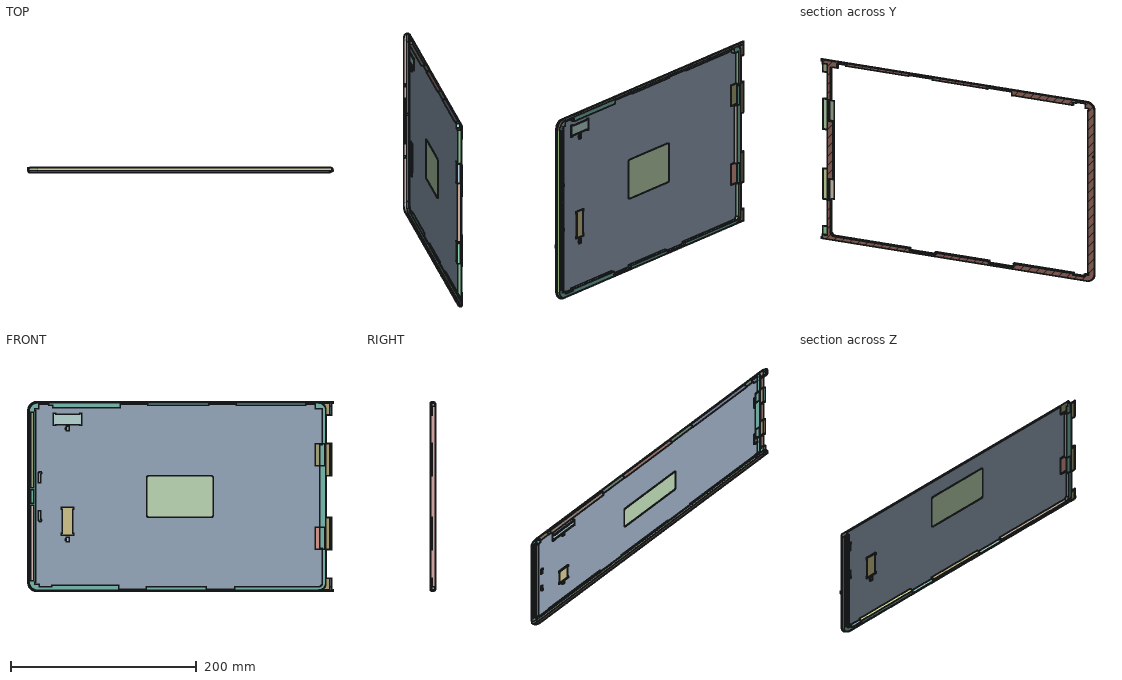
import cadquery as cq

LENGTH = 328.5
THICKNESS = 6.0
HEIGHT = 204.5

LEFT, RIGHT = -LENGTH / 2, LENGTH / 2
FRONT, BACK = -THICKNESS / 2, THICKNESS / 2
TOP = HEIGHT / 2

CORNER_RADIUS = 10.0
BACK_EDGE_RADIUS = 3.5
FRONT_BEVEL_WIDTH = 1.3
FRONT_BEVEL_DEPTH = 2.0

POCKET_DEPTH = 4.0
FLOOR_Y = FRONT + POCKET_DEPTH
POCKET_LEFT = -156.0
POCKET_RIGHT = 152.8
LEDGE_RIGHT = 150.0
LEDGE_HALF_HEIGHT = 56.0
SHALLOW_EDGE = 99.5

RIM_RIGHT = 156.5
RIM_CORNER_RADIUS = 7.0
SIDE_WALL = 1.5
BACK_WALL = 5.0
INNER_HALF_HEIGHT = TOP - SIDE_WALL
GAP_LEFT = 157.0
CORNER_LUG_END = 163.0
INNER_LUG_END = 162.7
LUG_FRONT, LUG_BACK = -2.5, -1.0
END_BEVEL_LENGTH, END_BEVEL_DEPTH = 4.3, 2.0
INNER_LUG = (22.5, 57.2)
CORNER_LUG_START = 87.7

CATCH_LEFT, CATCH_RIGHT = 145.0, 155.0
CATCH_RANGE = (33.2, 57.0)
CATCH_FRONT, CATCH_BACK = -2.3, 2.0

PANEL_LENGTH, PANEL_HEIGHT = 71.5, 44.7
PANEL_X = -0.5
PANEL_RADIUS = 2.3
PANEL_DEPTH = 0.3
WINDOW_LENGTH, WINDOW_WIDTH = 30.5, 11.2
WINDOW_DEPTH = 1.0
EAR_LENGTH, EAR_REACH = 2.3, 1.0
WINDOWS = [(-121.5, 83.0, 0), (-121.5, -26.5, 90)]
KEY_LENGTH, KEY_HEIGHT = 3.3, 5.0
KEY_PIN_DIAMETER = 1.7
KEY_GAP = 2.0
KEY_DEPTH = 0.5

HOOK_X, HOOK_WIDTH = -151.8, 2.3
HOOK_RANGE = (15.0, 27.0)
HOOK_HEAD_DIAMETER = 3.0
HOOK_HEAD_SHIFT = 0.5
HOOK_DEPTH = 0.3

GROOVE_LEFT, GROOVE_RIGHT = -161.0, -158.0
GROOVE_DEPTH = 1.3
GROOVE_RANGES = [(-90.7, -9.5), (-7.2, 7.2), (9.5, 90.7)]

END_SLOT_LENGTH, END_SLOT_WIDTH, END_SLOT_Y = 51.3, 1.3, 1.0
END_CUT_DEPTH = 1.5
END_DETAIL_Z = 40.8
END_HOLE_DIAMETER = 3.0
END_HOLE_Y = 1.3
STUD_WIDTH = 2.5
STUD_LENGTH = 4.0
STUD_BACK = 2.3


def block(x_range, y_range, z_range):
    """Axis-aligned block between the given limits."""
    (x0, x1), (y0, y1), (z0, z1) = x_range, y_range, z_range
    return cq.Workplane("XY").box(x1 - x0, y1 - y0, z1 - z0, centered=False).translate((x0, y0, z0))


def face_plane(y):
    """Sketch plane at depth y with X to the right and Z up; positive extrusion goes towards the front."""
    return cq.Workplane("XZ", origin=(0, y, 0))


def both_halves(z_range):
    """A z range and its mirror image below the centre line."""
    low, high = z_range
    return [(low, high), (-high, -low)]


def blank():
    """Slab with rounded left corners, bevelled front edges and rounded back edges."""
    slab = cq.Workplane("XY").box(LENGTH, THICKNESS, HEIGHT)
    slab = slab.edges("|Y and <X").fillet(CORNER_RADIUS)
    slab = slab.faces(">Y").edges().fillet(BACK_EDGE_RADIUS)
    front_edges = slab.faces("<Y").edges().vals()
    return cq.Workplane(slab.val().chamfer(FRONT_BEVEL_WIDTH, FRONT_BEVEL_DEPTH, front_edges))


def main_pocket():
    """Stepped pocket that leaves the rim around the floor."""
    outline = [
        (POCKET_LEFT, -92.5), (-157.0, -92.5), (-157.0, -94.5), (-152.0, -94.5), (-152.0, -97.3),
        (-138.7, -97.3), (-138.7, -95.5), (-66.7, -95.5), (-66.7, -SHALLOW_EDGE),
        (-37.0, -SHALLOW_EDGE), (-37.0, -97.3), (27.5, -97.3), (27.5, -SHALLOW_EDGE),
        (58.2, -SHALLOW_EDGE), (58.2, -97.3), (150.2, -97.3), (POCKET_RIGHT, -94.3),
        (POCKET_RIGHT, -LEDGE_HALF_HEIGHT), (LEDGE_RIGHT, -LEDGE_HALF_HEIGHT),
        (LEDGE_RIGHT, LEDGE_HALF_HEIGHT), (POCKET_RIGHT, LEDGE_HALF_HEIGHT),
        (POCKET_RIGHT, 94.5), (145.0, 94.5), (145.0, SHALLOW_EDGE), (134.7, SHALLOW_EDGE),
        (134.7, 98.5), (59.8, 98.5), (59.8, SHALLOW_EDGE), (30.5, SHALLOW_EDGE), (30.5, 98.5),
        (-35.5, 98.5), (-35.5, SHALLOW_EDGE), (-64.7, SHALLOW_EDGE), (-64.7, 95.5),
        (-137.7, 95.5), (-137.7, 98.5), (-141.5, 98.5), (-141.5, SHALLOW_EDGE),
        (-152.8, SHALLOW_EDGE), (-152.8, 94.5), (-157.0, 94.5), (-157.0, 92.5), (POCKET_LEFT, 92.5),
    ]
    return face_plane(FLOOR_Y).polyline(outline).close().extrude(POCKET_DEPTH)


def shape_right_end(body):
    """Step the lugs below the rim, thin them from behind and cut the gaps between them."""
    inner = (-INNER_HALF_HEIGHT, INNER_HALF_HEIGHT)
    step = block((RIM_RIGHT - RIM_CORNER_RADIUS, RIGHT), (FRONT, LUG_FRONT), inner)
    rim = block((0, RIM_RIGHT), (FRONT, BACK), inner).edges("|Y and >X").fillet(RIM_CORNER_RADIUS)
    body = body.cut(step.cut(rim))
    body = body.cut(block((CORNER_LUG_END, RIGHT), (FRONT, BACK), inner))
    between_corners = (-CORNER_LUG_START, CORNER_LUG_START)
    body = body.cut(block((INNER_LUG_END, RIGHT), (FRONT, BACK), between_corners))

    hollow_half = TOP - BACK_WALL
    body = body.cut(block((GAP_LEFT, RIGHT), (LUG_BACK, BACK), (-hollow_half, hollow_half)))

    lug_low, lug_high = INNER_LUG
    gaps = [(-lug_low, lug_low)] + both_halves((lug_high, CORNER_LUG_START))
    for gap in gaps:
        body = body.cut(block((GAP_LEFT, RIGHT), (FRONT, BACK), gap))

    bevel_section = [(RIGHT - END_BEVEL_LENGTH, FRONT), (RIGHT, FRONT), (RIGHT, FRONT + END_BEVEL_DEPTH)]
    bevel = cq.Workplane("XY").polyline(bevel_section).close().extrude(TOP, both=True)
    return body.cut(bevel)


def window_recess(x, z, turn):
    """Rectangular floor recess with small ears at its four corners."""
    bottom = FLOOR_Y + WINDOW_DEPTH
    recess = face_plane(bottom).rect(WINDOW_LENGTH, WINDOW_WIDTH).extrude(WINDOW_DEPTH)
    ear_x = (WINDOW_LENGTH - EAR_LENGTH) / 2
    for side in (-1, 1):
        ears = face_plane(bottom).center(side * ear_x, 0)
        recess = recess.union(ears.rect(EAR_LENGTH, WINDOW_WIDTH + 2 * EAR_REACH).extrude(WINDOW_DEPTH))
    return recess.rotate((0, 0, 0), (0, 1, 0), turn).translate((x, 0, z))


def key_recess(x, z, turn):
    """Small keyed recess below a window, with a round pin seat on its left side."""
    half_height = WINDOW_WIDTH / 2 if turn == 0 else WINDOW_LENGTH / 2
    plane = face_plane(FLOOR_Y + KEY_DEPTH).center(x, z - half_height - KEY_GAP - KEY_HEIGHT / 2)
    seat = plane.center(-KEY_LENGTH / 2, 0).circle(KEY_PIN_DIAMETER / 2).extrude(KEY_DEPTH)
    return plane.rect(KEY_LENGTH, KEY_HEIGHT).extrude(KEY_DEPTH).union(seat)


def hook_slot():
    """Upper narrow floor slot with a round head offset to the right."""
    half_width = HOOK_WIDTH / 2
    bottom = FLOOR_Y + HOOK_DEPTH
    low, high = HOOK_RANGE
    head_radius = HOOK_HEAD_DIAMETER / 2
    slot = block((HOOK_X - half_width, HOOK_X + half_width), (FLOOR_Y, bottom), (low, high - head_radius))
    head = face_plane(bottom).center(HOOK_X + HOOK_HEAD_SHIFT, high - head_radius)
    return slot.union(head.circle(head_radius).extrude(HOOK_DEPTH))


def left_end_stud():
    """Stud that stands on the rounded back of the left end."""
    half_width = STUD_WIDTH / 2
    return block((LEFT, LEFT + STUD_LENGTH), (0, STUD_BACK),
                 (-END_DETAIL_Z - half_width, -END_DETAIL_Z + half_width))


def left_end_cuts():
    """Long narrow slot and a blind round hole in the left end face."""
    half_length, half_width = END_SLOT_LENGTH / 2, END_SLOT_WIDTH / 2
    slot = block((LEFT, LEFT + END_CUT_DEPTH), (END_SLOT_Y - half_width, END_SLOT_Y + half_width),
                 (-half_length, half_length))
    hole = cq.Workplane("YZ", origin=(LEFT, END_HOLE_Y, END_DETAIL_Z))
    return slot.union(hole.circle(END_HOLE_DIAMETER / 2).extrude(END_CUT_DEPTH))


body = shape_right_end(blank().cut(main_pocket()))

for z_range in both_halves(CATCH_RANGE):
    body = body.cut(block((CATCH_LEFT, CATCH_RIGHT), (CATCH_FRONT, CATCH_BACK), z_range))

panel = face_plane(FLOOR_Y + PANEL_DEPTH).center(PANEL_X, 0).rect(PANEL_LENGTH, PANEL_HEIGHT)
body = body.cut(panel.extrude(PANEL_DEPTH).edges("|Y").fillet(PANEL_RADIUS))

for x, z, turn in WINDOWS:
    body = body.cut(window_recess(x, z, turn))
    body = body.cut(key_recess(x, z, turn))

upper_hook = hook_slot()
body = body.cut(upper_hook).cut(upper_hook.mirror("XY"))

for z_range in GROOVE_RANGES:
    body = body.cut(block((GROOVE_LEFT, GROOVE_RIGHT), (FRONT, FRONT + GROOVE_DEPTH), z_range))

body = body.cut(left_end_cuts()).union(left_end_stud())

result = body